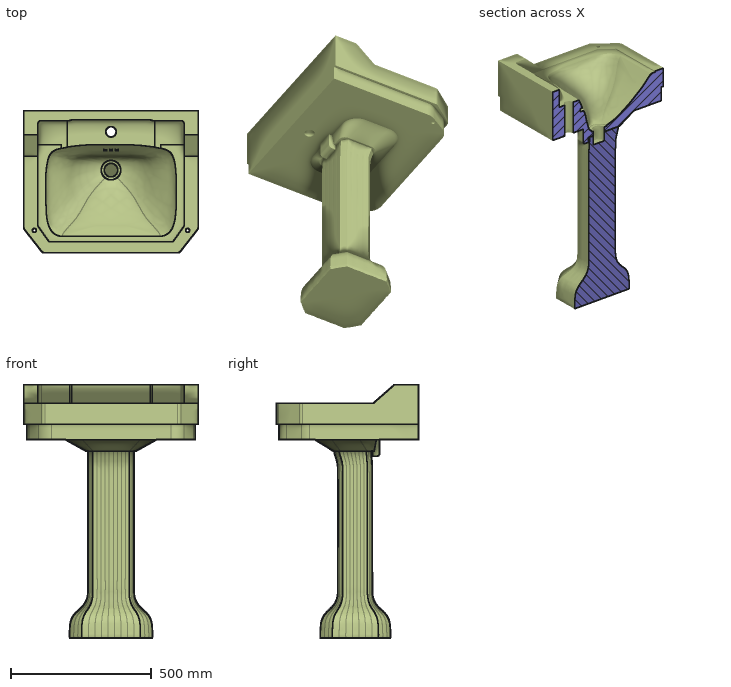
import cadquery as cq
import math

TOTAL_HEIGHT = 900
BASIN_WIDTH = 620
BASIN_DEPTH = 505
HALF_WIDTH = BASIN_WIDTH / 2

APRON_BOTTOM = 705
RIM_BOTTOM = 759
RIM_TOP = 834
RIM_FLOOR = RIM_TOP - 4
LEDGE_FLOOR = RIM_FLOOR - 2
UNDERSIDE = 664

RIM_CORNER_Y = -419
RIM_CORNER_X = 242.5
RIM_CORNER_RADIUS = 15

APRON_HALF_WIDTH = HALF_WIDTH - 10
APRON_FRONT = -BASIN_DEPTH + 9
APRON_CORNER_Y = -403
APRON_CORNER_X = 243
APRON_CORNER_RADIUS = 54

CHEEK_SLOPE_BACK = -86
CHEEK_SLOPE_FRONT = -161

RECESS_HALF_WIDTH = 260
RECESS_BACK = -35
RECESS_FRONT = -465
RECESS_CORNER_Y = -409
RECESS_CORNER_X = 220
RECESS_BACK_RADIUS = 13

PANEL_DEPTH = 3
PANEL_HALF_WIDTH_BACK = 139
PANEL_HALF_WIDTH_FRONT = 147

DECK_HALF_WIDTH = 155
LEDGE_FRONT = -120
LEDGE_TONGUE_HALF_WIDTH = 176
LEDGE_TONGUE_FRONT = -150
LEDGE_CORNER_RADIUS = 5

TAP_Y = -75
TAP_DIAMETER = 36
FIXING_X = 272
FIXING_Y = -425
FIXING_DIAMETER = 13
DRAIN_Y = -211
DRAIN_DIAMETER = 48
DRAIN_SEAT_DIAMETER = 69
DRAIN_SEAT_DEPTH = 1
DRAIN_SEAT_TOP = 695
OVERFLOW_Z = 786
OVERFLOW_PITCH = 20.5
OVERFLOW_DIAMETER = 10
OVERFLOW_BACK = -128
OVERFLOW_FRONT = -175

DUCT_WIDTH = 60
DUCT_BACK = -138
DUCT_FRONT = -164
DUCT_BOTTOM = 645
DUCT_RADIUS = 12

DRAIN_LEVEL = 686
BOWL_LEVELS = [
    (RIM_FLOOR, 227, -132, 12, -446.5, 56, 60, 53),
    (817, 224, -137, 12, -436, 56, 62, 53),
    (780, 190, -152, 9, -396, 52, 64, 53),
    (730, 138, -163, 6, -332, 42, 60, 43),
    (697, 82, -171, 3, -272, 30, 42, 28),
    (DRAIN_LEVEL, 28, -185, 1, -235, 15, 20, 8),
]
SIDE_BOW_RATIO = 0.02

SHELL_LEVELS = [
    (APRON_BOTTOM, 163, -150, -369, 60),
    (UNDERSIDE, 89, -158, -303, 25),
]

FOOT_HALF_WIDTH = 147
FOOT_BACK = -100
FOOT_FRONT = -349
FOOT_CORNER = 43
FOOT_HEIGHT = 45

SHAFT_HALF_WIDTH = 82
SHAFT_BACK = -164
SHAFT_FRONT = -287
SHAFT_CORNER = 18
SHAFT_START = 155

HEAD_START = 610
HEAD_BACK = -168
HEAD_FRONT = -300

WASTE_BOTTOM = UNDERSIDE - 34
PEDESTAL_STEPS = 20

STRIP_COUNTS = (9, 3, 7, 3)
FLUTE_DEPTH_RATIO = 0.045


def prism(outline, bottom, top):
    """Upright prism on a closed outline of (x, y) points."""
    return cq.Workplane("XY").workplane(offset=bottom).polyline(outline).close().extrude(top - bottom)


def cut_corner_outline(half_width, back, front, corner_x, corner_y):
    """Rectangle with both front corners cut off."""
    return [
        (-half_width, back), (half_width, back), (half_width, corner_y),
        (corner_x, front), (-corner_x, front), (-half_width, corner_y),
    ]


def cylinder(x, y, diameter, bottom, top):
    return cq.Workplane("XY").workplane(offset=bottom).center(x, y).circle(diameter / 2).extrude(top - bottom)


def make_rim():
    """Upper tier with the splashback and its sloping cheeks."""
    outline = cut_corner_outline(HALF_WIDTH, 0, -BASIN_DEPTH, RIM_CORNER_X, RIM_CORNER_Y)
    block = prism(outline, RIM_BOTTOM, TOTAL_HEIGHT)
    block = block.edges("|Z").edges("not >Y").fillet(RIM_CORNER_RADIUS)
    side_profile = [
        (0, RIM_BOTTOM), (0, TOTAL_HEIGHT), (CHEEK_SLOPE_BACK, TOTAL_HEIGHT),
        (CHEEK_SLOPE_FRONT, RIM_TOP), (-BASIN_DEPTH, RIM_TOP), (-BASIN_DEPTH, RIM_BOTTOM),
    ]
    profile = cq.Workplane("YZ").polyline(side_profile).close().extrude(HALF_WIDTH, both=True)
    return block.intersect(profile)


def make_apron():
    """Lower tier."""
    outline = cut_corner_outline(APRON_HALF_WIDTH, 0, APRON_FRONT, APRON_CORNER_X, APRON_CORNER_Y)
    apron = prism(outline, APRON_BOTTOM, RIM_BOTTOM)
    return apron.edges("|Z").edges("not >Y").fillet(APRON_CORNER_RADIUS)


def make_shell():
    """Tapered underside of the bowl."""
    sections = []
    for height, half_width, back, front, radius in SHELL_LEVELS:
        middle = cq.Location(cq.Vector(0, (back + front) / 2, height))
        section = cq.Sketch().rect(2 * half_width, back - front).vertices().fillet(radius)
        sections.append(section.moved(middle))
    return cq.Workplane("XY").placeSketch(*sections).loft(ruled=True)


def make_duct():
    """Overflow duct, rounded along its lower back edge."""
    duct = cq.Workplane("XY").box(
        DUCT_WIDTH, DUCT_BACK - DUCT_FRONT, APRON_BOTTOM - DUCT_BOTTOM, centered=(True, False, False)
    )
    duct = duct.translate((0, DUCT_FRONT, DUCT_BOTTOM))
    return duct.edges("|X and >Y and <Z").fillet(DUCT_RADIUS)


def make_rim_recess():
    """Space cut out of the rim down to its sunken floor, with the splashback panel."""
    outline = cut_corner_outline(
        RECESS_HALF_WIDTH, RECESS_BACK, RECESS_FRONT, RECESS_CORNER_X, RECESS_CORNER_Y
    )
    recess = prism(outline, RIM_FLOOR, TOTAL_HEIGHT)
    recess = recess.edges("|Z and >Y").fillet(RECESS_BACK_RADIUS)
    panel = prism(
        [
            (-PANEL_HALF_WIDTH_FRONT, RECESS_BACK),
            (-PANEL_HALF_WIDTH_BACK, RECESS_BACK + PANEL_DEPTH),
            (PANEL_HALF_WIDTH_BACK, RECESS_BACK + PANEL_DEPTH),
            (PANEL_HALF_WIDTH_FRONT, RECESS_BACK),
        ],
        RIM_FLOOR,
        TOTAL_HEIGHT,
    )
    return recess.union(panel)


def make_soap_ledge():
    """Shallow recess on the +X side of the tap deck, running out into the bowl."""
    ledge = prism(
        [
            (DECK_HALF_WIDTH, RECESS_BACK),
            (RECESS_HALF_WIDTH, RECESS_BACK),
            (RECESS_HALF_WIDTH, LEDGE_FRONT),
            (LEDGE_TONGUE_HALF_WIDTH, LEDGE_FRONT),
            (LEDGE_TONGUE_HALF_WIDTH, LEDGE_TONGUE_FRONT),
            (DECK_HALF_WIDTH, LEDGE_TONGUE_FRONT),
        ],
        LEDGE_FLOOR,
        RIM_FLOOR,
    )
    inner_corner = cq.selectors.NearestToPointSelector(
        (LEDGE_TONGUE_HALF_WIDTH, LEDGE_FRONT, (LEDGE_FLOOR + RIM_FLOOR) / 2)
    )
    outer_corner = cq.selectors.NearestToPointSelector(
        (RECESS_HALF_WIDTH, RECESS_BACK, (LEDGE_FLOOR + RIM_FLOOR) / 2)
    )
    ledge = ledge.edges("|Z").edges(inner_corner).fillet(LEDGE_CORNER_RADIUS)
    return ledge.edges("|Z").edges(outer_corner).fillet(RECESS_BACK_RADIUS)


def bowl_wire(height, half_width, back, back_bow, front, back_corner, side_reach, front_reach):
    """Straight front, bowed sides and back, rounded corners."""
    back_x = half_width - back_corner
    front_x = half_width - front_reach

    front_radius = (front_reach**2 + side_reach**2) / (2 * front_reach)
    half_sweep = math.atan2(side_reach, front_radius - front_reach) / 2
    front_mid = (
        half_width - front_radius * (1 - math.cos(half_sweep)),
        front + side_reach - front_radius * math.sin(half_sweep),
    )
    back_inset = back_corner * (1 - math.sqrt(0.5))
    right_half = [
        (front_x, front),
        front_mid,
        (half_width, front + side_reach),
        (half_width * (1 + SIDE_BOW_RATIO), (front + back) / 2),
        (half_width, back - back_corner),
        (half_width - back_inset, back - back_inset),
        (back_x, back),
    ]
    left_half = [(-x, y) for x, y in reversed(right_half)]
    curve = right_half + [(0, back + back_bow)] + left_half
    return (
        cq.Workplane("XY").workplane(offset=height)
        .moveTo(-front_x, front)
        .lineTo(front_x, front)
        .spline(curve[1:], includeCurrent=True)
        .wire()
        .val()
    )


def make_bowl_cavity():
    wires = [bowl_wire(*level) for level in BOWL_LEVELS]
    return cq.Workplane(cq.Solid.makeLoft(wires, False))


def make_basin():
    basin = make_rim().union(make_apron()).union(make_shell()).union(make_duct())
    ledge = make_soap_ledge()
    basin = basin.cut(make_rim_recess()).cut(ledge).cut(ledge.mirror("YZ"))
    basin = basin.cut(make_bowl_cavity())

    basin = basin.cut(cylinder(0, DRAIN_Y, DRAIN_DIAMETER, UNDERSIDE, DRAIN_LEVEL))
    basin = basin.cut(
        cylinder(0, DRAIN_Y, DRAIN_SEAT_DIAMETER, DRAIN_LEVEL - DRAIN_SEAT_DEPTH, DRAIN_SEAT_TOP)
    )

    basin = basin.cut(cylinder(0, TAP_Y, TAP_DIAMETER, APRON_BOTTOM, TOTAL_HEIGHT))
    for x in (-FIXING_X, FIXING_X):
        basin = basin.cut(cylinder(x, FIXING_Y, FIXING_DIAMETER, APRON_BOTTOM, TOTAL_HEIGHT))

    for x in (-OVERFLOW_PITCH, 0, OVERFLOW_PITCH):
        hole = cq.Solid.makeCylinder(
            OVERFLOW_DIAMETER / 2,
            OVERFLOW_BACK - OVERFLOW_FRONT,
            cq.Vector(x, OVERFLOW_FRONT, OVERFLOW_Z),
            cq.Vector(0, 1, 0),
        )
        basin = basin.cut(cq.Workplane(hole))
    return basin


def fluted_wire(height, half_width, back, front, corner):
    """Rectangle with cut corners whose sides carry evenly spaced shallow flutes."""
    corners = [
        (-half_width + corner, front), (half_width - corner, front),
        (half_width, front + corner), (half_width, back - corner),
        (half_width - corner, back), (-half_width + corner, back),
        (-half_width, back - corner), (-half_width, front + corner),
    ]
    edges = []
    for index, corner_point in enumerate(corners):
        strips = STRIP_COUNTS[index % len(STRIP_COUNTS)]
        start = cq.Vector(*corner_point, height)
        end = cq.Vector(*corners[(index + 1) % len(corners)], height)
        step = (end - start) * (1 / strips)
        inward = cq.Vector(-step.y, step.x, 0)
        for strip in range(strips):
            first = start + step * strip
            last = first + step
            is_flute = len(edges) % 2 == 1
            if is_flute:
                valley = (first + last) * 0.5 + inward * FLUTE_DEPTH_RATIO
                edges.append(cq.Edge.makeThreePointArc(first, valley, last))
            else:
                edges.append(cq.Edge.makeLine(first, last))
    return cq.Wire.assembleEdges(edges)


def ease(height, start, end):
    """Share, from 0 to 1, of a smooth change that runs from one height to another."""
    fraction = min(max((height - start) / (end - start), 0), 1)
    return (1 - math.cos(math.pi * fraction)) / 2


def pedestal_wire(height):
    """Section at one height: foot, flare, straight shaft and head that leans forward."""
    flare = ease(height, FOOT_HEIGHT, SHAFT_START)
    lean = ease(height, HEAD_START, UNDERSIDE)

    def mix(foot, shaft, head):
        return foot + (shaft - foot) * flare + (head - shaft) * lean

    return fluted_wire(
        height,
        mix(FOOT_HALF_WIDTH, SHAFT_HALF_WIDTH, SHAFT_HALF_WIDTH),
        mix(FOOT_BACK, SHAFT_BACK, HEAD_BACK),
        mix(FOOT_FRONT, SHAFT_FRONT, HEAD_FRONT),
        mix(FOOT_CORNER, SHAFT_CORNER, SHAFT_CORNER),
    )


def make_pedestal():
    sections = [pedestal_wire(UNDERSIDE * i / PEDESTAL_STEPS) for i in range(PEDESTAL_STEPS + 1)]
    body = cq.Workplane(cq.Solid.makeLoft(sections, False))
    return body.cut(cylinder(0, DRAIN_Y, DRAIN_DIAMETER, WASTE_BOTTOM, UNDERSIDE))


pedestal = make_pedestal()
basin = make_basin()
result = cq.Compound.makeCompound([basin.val(), pedestal.val()])